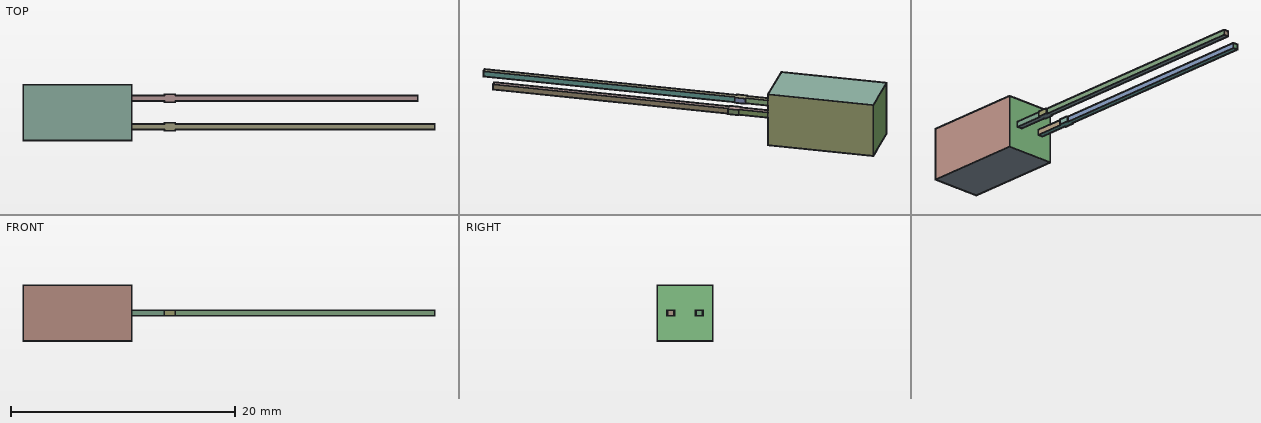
import cadquery as cq

overall_length = 36.7
body_side = 5.0
body_length = 9.7

lead_thickness = 0.5
lead_pitch = 2.55
long_lead_length = overall_length - body_length
short_lead_length = long_lead_length - 1.5

stop_start = 2.9
stop_length = 1.0
stop_width = 0.75


def block(start_x, length, center_y, width, height):
    """Box running along +X from start_x, centred on the plane Z = 0."""
    return (
        cq.Workplane("XY")
        .box(length, width, height, centered=(False, True, True))
        .translate((start_x, center_y, 0))
    )


def lead(center_y, length):
    """Straight lead with its widened stop, starting at the body's end face."""
    wire = block(body_length, length, center_y, lead_thickness, lead_thickness)
    stop = block(body_length + stop_start, stop_length, center_y, stop_width, lead_thickness)
    return wire.union(stop)


result = block(0, body_length, 0, body_side, body_side)
for center_y, length in ((-lead_pitch / 2, long_lead_length), (lead_pitch / 2, short_lead_length)):
    result = result.union(lead(center_y, length))